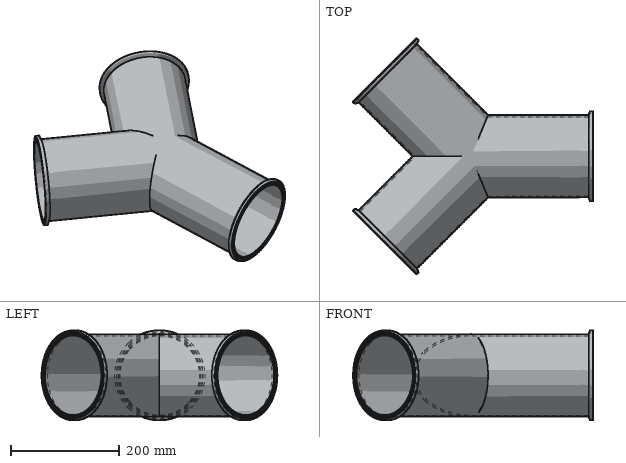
import cadquery as cq
import math

overall_length = 443.5
branch_angle = 45.0

pipe_radius = 152.5 / 2
bore_radius = 147.0 / 2

rim_radius = 166.7 / 2
rim_thickness = 5.8
cone_end = 8.5
rim_fillet = 1.0
ferrule_length = 21.7

groove_radius = 77.5
groove_mouth_width = 5.5
groove_floor_width = 2.5
groove_depth = 1.8

branch_cos = math.cos(math.radians(branch_angle))
branch_sin = math.sin(math.radians(branch_angle))
corner_reach = (rim_radius - rim_fillet) * branch_sin + rim_fillet * (1 - branch_cos)
arm_length = (overall_length - corner_reach) / (1 + branch_cos)
arm_directions = (0.0, 180.0 - branch_angle, 180.0 + branch_angle)

weld = arm_length - ferrule_length


def turned(profile):
    """Revolve an XY half section around the X axis."""
    return profile.close().revolve(360, (0, 0, 0), (1, 0, 0))


def pipe():
    """Solid pipe along +X, from the junction to the weld."""
    return cq.Workplane("YZ").circle(pipe_radius).extrude(weld)


def bore():
    """Through passage of one arm along +X."""
    return cq.Workplane("YZ").circle(bore_radius).extrude(arm_length)


def ferrule():
    """Clamp ferrule on the end of the +X arm, with a hollow neck, tapered rim and face groove."""
    rim_back = arm_length - rim_thickness
    body = turned(
        cq.Workplane("XY")
        .moveTo(weld, bore_radius)
        .lineTo(weld, pipe_radius)
        .lineTo(arm_length - cone_end, pipe_radius)
        .lineTo(rim_back, rim_radius)
        .lineTo(arm_length, rim_radius)
        .lineTo(arm_length, bore_radius)
    )
    body = body.edges(cq.selectors.RadiusNthSelector(-1)).fillet(rim_fillet)
    groove_floor = arm_length - groove_depth
    groove = turned(
        cq.Workplane("XY")
        .moveTo(arm_length, groove_radius - groove_mouth_width / 2)
        .lineTo(groove_floor, groove_radius - groove_floor_width / 2)
        .lineTo(groove_floor, groove_radius + groove_floor_width / 2)
        .lineTo(arm_length, groove_radius + groove_mouth_width / 2)
    )
    return body.cut(groove)


def on_each_arm(shape):
    """Copies of a +X arm shape, turned to the three arm directions."""
    return [shape.rotate((0, 0, 0), (0, 0, 1), angle) for angle in arm_directions]


def joined(shapes):
    """Union that keeps the seams between flush faces."""
    total = shapes[0]
    for shape in shapes[1:]:
        total = total.union(shape, clean=False)
    return total


tubes = joined(on_each_arm(pipe())).cut(joined(on_each_arm(bore())), clean=False)
result = joined([tubes] + on_each_arm(ferrule()))